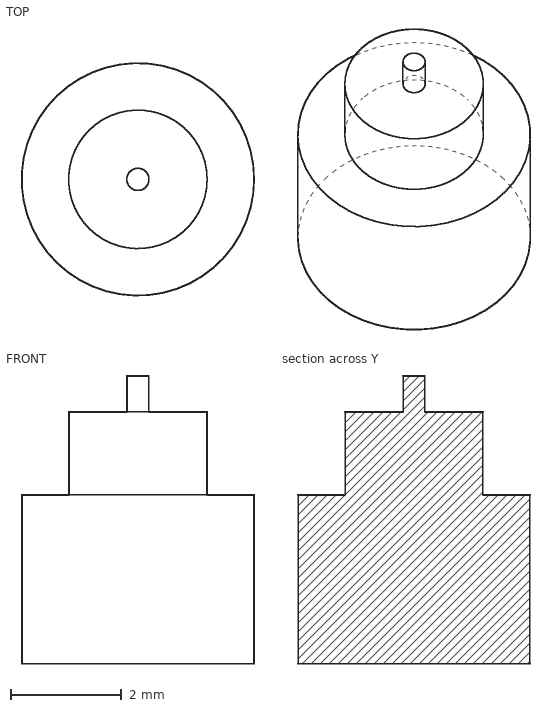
import cadquery as cq

total_height = 5.2
base_diameter = 4.2
base_height = 3.05
collar_diameter = 2.5
collar_height = 1.5
pin_diameter = 0.4
pin_height = total_height - base_height - collar_height


def add_cylinder(body, diameter, height):
    """Stack a coaxial cylinder on the top face of the body."""
    return body.faces(">Z").workplane().circle(diameter / 2).extrude(height)


base = cq.Workplane("XY").circle(base_diameter / 2).extrude(base_height)
base_and_collar = add_cylinder(base, collar_diameter, collar_height)
result = add_cylinder(base_and_collar, pin_diameter, pin_height)